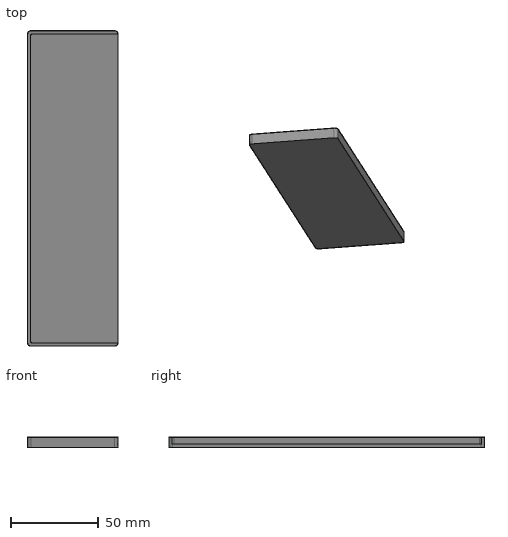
import cadquery as cq

width = 52.0
length = 181.0
height = 6.0

wall = 1.8
floor_thickness = 2.0
outer_corner_radius = 2.0
inner_corner_radius = 1.0

tray = (
    cq.Workplane("XY")
    .box(width, length, height, centered=(True, True, False))
    .edges("|Z")
    .fillet(outer_corner_radius)
)

recess = (
    cq.Workplane("XY")
    .box(width, length - 2 * wall, height, centered=(True, True, False))
    .edges("|Z and <X")
    .fillet(inner_corner_radius)
    .translate((wall, 0, floor_thickness))
)

result = tray.cut(recess)